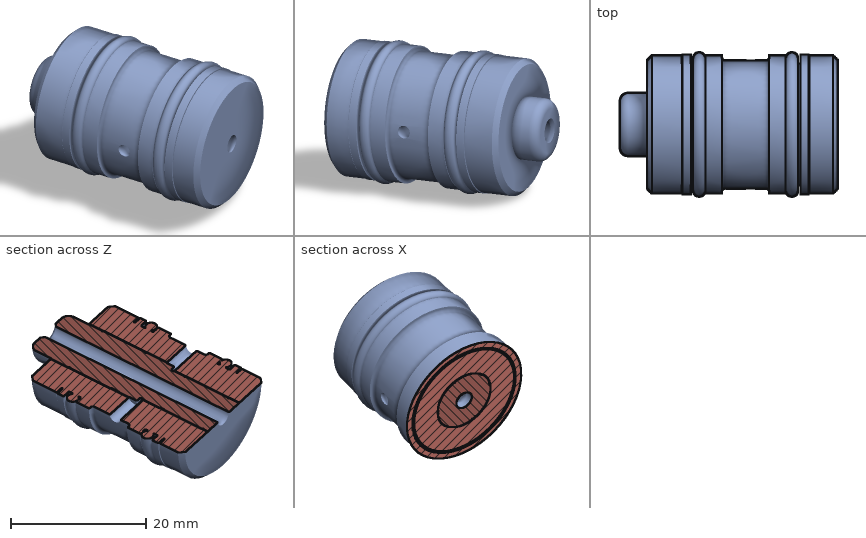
import cadquery as cq
import math

total_length = 32.3
housing_start = 4.05
neck_middle = 18.65

housing_radius = 10.27
end_chamfer = 0.75
neck_radius = 9.53
neck_half_length = 3.5
neck_fillet = 0.4

groove_offset = 5.95
groove_radius = 9.05
groove_width = 3.5
seal_outer_diameter = 21.42
seal_outer_radius = seal_outer_diameter / 2
seal_width = 1.85
backing_radius = 10.37
backing_width = 1.23
backing_gap = 0.1

cross_hole_x = 19.4
cross_hole_diameter = 1.95

pin_radius = 4.72
pin_tip_fillet = 1.3
pin_step_x = 19.85
pin_rear_radius = 3.88
pin_hole_radius = 1.35
pin_hole_chamfer = 0.5

seal_middle = groove_offset + seal_width / 2
backing_middle = groove_offset + groove_width - backing_gap - backing_width / 2
groove_middle = groove_offset + groove_width / 2


def cylinder(start, length, radius):
    """Solid cylinder on the X axis."""
    return cq.Workplane("YZ", origin=(start, 0, 0)).circle(radius).extrude(length)


def tube(middle, width, inner_radius, outer_radius):
    """Ring centred lengthwise at a place on the X axis."""
    start = middle - width / 2
    return cylinder(start, width, outer_radius).cut(cylinder(start, width, inner_radius))


def round_seal(middle):
    """Ring of circular section around the X axis."""
    tube_radius = seal_width / 2
    return cq.Workplane("XY").add(
        cq.Solid.makeTorus(
            seal_outer_radius - tube_radius, tube_radius, cq.Vector(middle, 0, 0), cq.Vector(1, 0, 0)
        )
    )


def neck_cutter():
    """Revolved recess whose two floor corners are rounded."""
    left = neck_middle - neck_half_length
    right = neck_middle + neck_half_length
    fillet_top = neck_radius + neck_fillet
    arc_inset = neck_fillet * (1 - math.sqrt(0.5))
    return (
        cq.Workplane("XY")
        .moveTo(left, seal_outer_radius)
        .lineTo(left, fillet_top)
        .threePointArc((left + arc_inset, neck_radius + arc_inset), (left + neck_fillet, neck_radius))
        .lineTo(right - neck_fillet, neck_radius)
        .threePointArc((right - arc_inset, neck_radius + arc_inset), (right, fillet_top))
        .lineTo(right, seal_outer_radius)
        .close()
        .revolve(360, (0, 0, 0), (1, 0, 0))
    )


def stepped_shaft():
    """Plain stepped cylinder shared by the pin and the bore that holds it."""
    front = cylinder(0, pin_step_x, pin_radius)
    rear = cylinder(pin_step_x, total_length - pin_step_x, pin_rear_radius)
    return front.union(rear)


def make_housing():
    face_radius = housing_radius - end_chamfer
    body = (
        cq.Workplane("XY")
        .moveTo(housing_start, 0)
        .lineTo(housing_start, face_radius)
        .lineTo(housing_start + end_chamfer, housing_radius)
        .lineTo(total_length - end_chamfer, housing_radius)
        .lineTo(total_length, face_radius)
        .lineTo(total_length, 0)
        .close()
        .revolve(360, (0, 0, 0), (1, 0, 0))
    )
    body = body.cut(neck_cutter())

    for side in (-1, 1):
        groove_x = neck_middle + side * groove_middle
        backing_x = neck_middle + side * backing_middle
        seal_x = neck_middle + side * seal_middle
        body = body.cut(tube(groove_x, groove_width, groove_radius, seal_outer_radius))
        body = body.union(tube(backing_x, backing_width, groove_radius, backing_radius))
        body = body.union(round_seal(seal_x))

    cross_hole = (
        cq.Workplane("XZ", origin=(cross_hole_x, 0, 0))
        .circle(cross_hole_diameter / 2)
        .extrude(housing_radius, both=True)
    )
    return body.cut(stepped_shaft()).cut(cross_hole)


def make_pin():
    pin = stepped_shaft().faces("<X").edges().fillet(pin_tip_fillet)
    pin = pin.cut(cylinder(0, total_length, pin_hole_radius))
    return pin.faces("<X").edges(cq.selectors.RadiusNthSelector(0)).chamfer(pin_hole_chamfer)


housing = make_housing()
pin = make_pin()
result = cq.Compound.makeCompound([housing.val(), pin.val()])